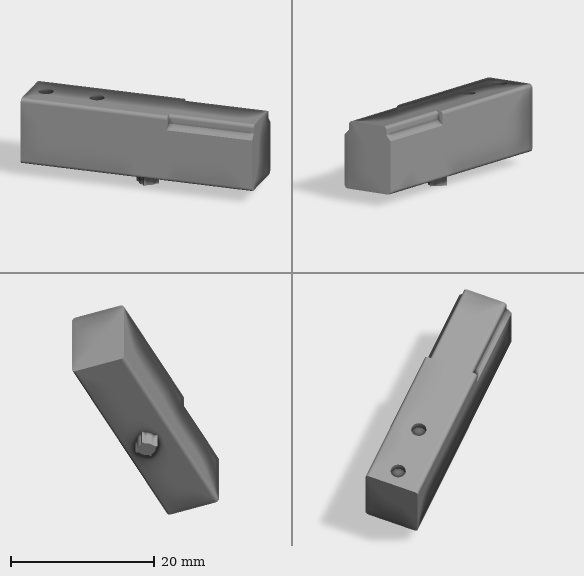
import cadquery as cq
import math

LENGTH = 34.2
WIDTH = 7.9
HEIGHT = 9.7
EDGE_RADIUS = 0.5

RAIL_LENGTH = 12.55
RAIL_INSET = 0.75
RAIL_DEPTH = 1.25
RAIL_SLOPE_HEIGHT = 0.75
RAIL_EDGE_RADIUS = 0.48

HOLE_DIAMETER = 2.12
HOLE_DEPTH = 1.03
FIRST_HOLE_X = 2.4
HOLE_SPACING = 7.52

STUB_X = 17.45
STUB_HEIGHT = 2.0
STUB_OVERLAP = 0.35
CORE_RADIUS = 1.25
RIDGE_COUNT = 4
RIDGE_TIP_RADIUS = 1.68
RIDGE_HALF_WIDTH = 0.3


def make_body():
    box = cq.Workplane("XY").box(LENGTH, WIDTH, HEIGHT, centered=(False, True, False))
    return box.edges("|X").fillet(EDGE_RADIUS)


def make_rail_cut(side):
    """Material removed beside the rail; side is -1 or 1 along Y."""
    outer = side * WIDTH / 2
    inner = side * (WIDTH / 2 - RAIL_INSET)
    rounded = side * (WIDTH / 2 - RAIL_INSET - RAIL_EDGE_RADIUS)
    floor = HEIGHT - RAIL_DEPTH
    arc_offset = RAIL_EDGE_RADIUS * math.sqrt(0.5)
    arc_middle = (rounded + side * arc_offset, HEIGHT - RAIL_EDGE_RADIUS + arc_offset)
    return (
        cq.Workplane("YZ", origin=(LENGTH - RAIL_LENGTH, 0, 0))
        .moveTo(outer, HEIGHT)
        .lineTo(rounded, HEIGHT)
        .threePointArc(arc_middle, (inner, HEIGHT - RAIL_EDGE_RADIUS))
        .lineTo(inner, floor)
        .lineTo(outer, floor - RAIL_SLOPE_HEIGHT)
        .close()
        .extrude(RAIL_LENGTH)
    )


def make_holes():
    return (
        cq.Workplane("XY", origin=(0, 0, HEIGHT))
        .pushPoints([(FIRST_HOLE_X, 0), (FIRST_HOLE_X + HOLE_SPACING, 0)])
        .circle(HOLE_DIAMETER / 2)
        .extrude(-HOLE_DEPTH)
    )


def make_stub():
    """Round core with pointed ridges along the X and Y axes."""
    height = STUB_HEIGHT + STUB_OVERLAP
    base = cq.Workplane("XY", origin=(STUB_X, 0, -STUB_HEIGHT))
    ridge_root = math.sqrt(CORE_RADIUS**2 - RIDGE_HALF_WIDTH**2)
    ridge = (
        base.moveTo(0, -RIDGE_HALF_WIDTH)
        .lineTo(ridge_root, -RIDGE_HALF_WIDTH)
        .lineTo(RIDGE_TIP_RADIUS, 0)
        .lineTo(ridge_root, RIDGE_HALF_WIDTH)
        .lineTo(0, RIDGE_HALF_WIDTH)
        .close()
        .extrude(height)
    )
    stub = base.circle(CORE_RADIUS).extrude(height)
    for index in range(RIDGE_COUNT):
        angle = index * 360 / RIDGE_COUNT
        stub = stub.union(ridge.rotate((STUB_X, 0, 0), (STUB_X, 0, 1), angle))
    return stub


result = make_body()
for rail_side in (-1, 1):
    result = result.cut(make_rail_cut(rail_side))
result = result.cut(make_holes()).union(make_stub())